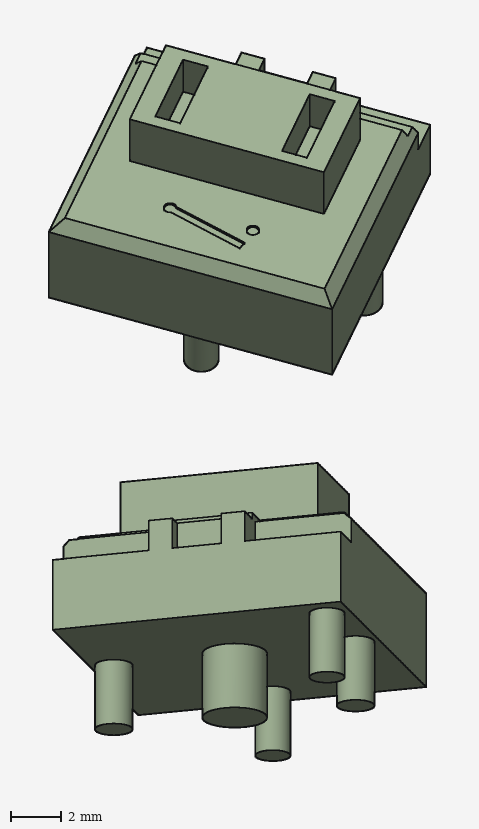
import cadquery as cq
import math

OVERALL_HEIGHT = 9.6

HOUSING_X = 12.0
HOUSING_Y = 11.4
HOUSING_HEIGHT = 4.43
TOP_CHAMFER = 0.5
BACK_Y = HOUSING_Y / 2

STEM_X = 8.22
STEM_Y = 4.2
STEM_HEIGHT = 2.5
STEM_CENTRE_Y = 0.64
STEM_TOP = HOUSING_HEIGHT + STEM_HEIGHT
SLOT_X = 1.05
SLOT_Y = 3.22
SLOT_DEPTH = 1.92
SLOT_SPACING = 5.36

TONGUE_X = 4.0
TONGUE_STEP_Y = 1.0
SHALLOW_STEP = 0.25
NOTCH_Y = 1.4
NOTCH_DEPTH = 1.5
LEFT_LEDGE_Y = 0.6
RIGHT_LEDGE_Y = 0.5
RECESS_X = 2.04
RECESS_Y = 0.65

SYMBOL_Y = -3.25
SYMBOL_DEPTH = 0.1
CONTACT_DIAMETER = 0.5
CONTACT_SPACING = 3.5
LEVER_LENGTH = CONTACT_SPACING
LEVER_WIDTH = 0.36
LEVER_ANGLE = 15.0

PIN_LENGTH = OVERALL_HEIGHT - STEM_TOP
CENTRE_POST_DIAMETER = 2.58
SIDE_POST_DIAMETER = 1.5
CONTACT_PIN_DIAMETER = 1.4
POST_OFFSET_X = 5.04
CONTACT_PIN_OFFSET_Y = 4.44


def block(x_range, y_range, z_range):
    """Axis-aligned box from its (low, high) limits along X, Y and Z."""
    ranges = (x_range, y_range, z_range)
    sizes = [high - low for low, high in ranges]
    corner = tuple(low for low, high in ranges)
    return cq.Workplane("XY").box(*sizes, centered=False).translate(corner)


def housing():
    """Box chamfered along its left, right and front top edges."""
    box = cq.Workplane("XY").box(HOUSING_X, HOUSING_Y, HOUSING_HEIGHT, centered=(True, True, False))
    return box.faces(">Z").edges("<X or >X or <Y").chamfer(TOP_CHAMFER)


def stem():
    """Plain block with a blind slot near each end."""
    body = cq.Workplane("XY").box(STEM_X, STEM_Y, STEM_HEIGHT, centered=(True, True, False))
    slots = (
        cq.Workplane("XY", origin=(0, 0, STEM_HEIGHT))
        .pushPoints([(-SLOT_SPACING / 2, 0), (SLOT_SPACING / 2, 0)])
        .rect(SLOT_X, SLOT_Y)
        .extrude(-SLOT_DEPTH)
    )
    return body.cut(slots).translate((0, STEM_CENTRE_Y, HOUSING_HEIGHT))


def back_edge_cuts():
    """Material removed to form the notches, their ledges and the tongue."""
    notch_z = (HOUSING_HEIGHT - NOTCH_DEPTH, HOUSING_HEIGHT)
    step_z = (HOUSING_HEIGHT - SHALLOW_STEP, HOUSING_HEIGHT)
    notch_front = BACK_Y - NOTCH_Y

    cuts = block((-TONGUE_X / 2, TONGUE_X / 2), (BACK_Y - TONGUE_STEP_Y, BACK_Y), step_z)
    cuts = cuts.union(block((-RECESS_X / 2, RECESS_X / 2), (BACK_Y - RECESS_Y, BACK_Y), notch_z))

    left_x = (-HOUSING_X / 2, -TONGUE_X / 2)
    right_x = (TONGUE_X / 2, HOUSING_X / 2)
    for side_x, ledge_y in ((left_x, LEFT_LEDGE_Y), (right_x, RIGHT_LEDGE_Y)):
        cuts = cuts.union(block(side_x, (notch_front, BACK_Y), notch_z))
        cuts = cuts.union(block(side_x, (notch_front - ledge_y, notch_front), step_z))
    return cuts


def symbol_cut():
    """Shallow engraving; the lever swings down from the left contact."""
    pivot_x = -CONTACT_SPACING / 2
    floor = cq.Workplane("XY", origin=(0, SYMBOL_Y, HOUSING_HEIGHT - SYMBOL_DEPTH))
    contacts = (
        floor.pushPoints([(pivot_x, 0), (-pivot_x, 0)])
        .circle(CONTACT_DIAMETER / 2)
        .extrude(SYMBOL_DEPTH)
    )
    angle = math.radians(-LEVER_ANGLE)
    lever_centre = (
        pivot_x + LEVER_LENGTH / 2 * math.cos(angle),
        LEVER_LENGTH / 2 * math.sin(angle),
    )
    lever = (
        floor.center(*lever_centre)
        .transformed(rotate=(0, 0, -LEVER_ANGLE))
        .rect(LEVER_LENGTH, LEVER_WIDTH)
        .extrude(SYMBOL_DEPTH)
    )
    return contacts.union(lever)


def pins(diameter, positions):
    """Round pins hanging from the underside of the housing."""
    return cq.Workplane("XY").pushPoints(positions).circle(diameter / 2).extrude(-PIN_LENGTH)


side_posts = [(-POST_OFFSET_X, STEM_CENTRE_Y), (POST_OFFSET_X, STEM_CENTRE_Y)]
contact_pins = [(-POST_OFFSET_X, CONTACT_PIN_OFFSET_Y), (0, -CONTACT_PIN_OFFSET_Y)]

result = (
    housing()
    .cut(back_edge_cuts())
    .cut(symbol_cut())
    .union(stem())
    .union(pins(CENTRE_POST_DIAMETER, [(0, STEM_CENTRE_Y)]))
    .union(pins(SIDE_POST_DIAMETER, side_posts))
    .union(pins(CONTACT_PIN_DIAMETER, contact_pins))
)